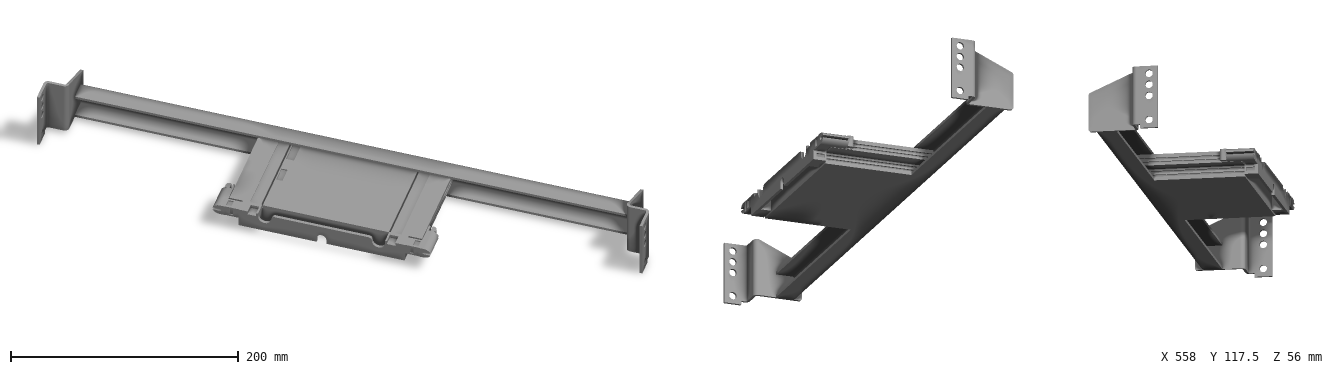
import cadquery as cq
import math


TOTAL_LENGTH = 558.0
SHEET = 2.5
INNER_BEND = 1.5
OUTER_BEND = INNER_BEND + SHEET
RAIL_DEPTH = 19.5
RAIL_HEIGHT = 24.0

SQUARE_HOLE = 10.0
SQUARE_HOLE_X = 192.5
ROUND_HOLE_DIAMETER = 6.0
ROUND_HOLE_X = 210.0
ROUND_HOLE_Z = 14.5

BRACKET_END = TOTAL_LENGTH / 2
BRACKET_WALL = 259.5
BRACKET_BACK = 5.0
BRACKET_STEP_Y = -39.5
BRACKET_FRONT = -60.0
BRACKET_BOTTOM = -3.5
BRACKET_TOP = 52.5
SLOPE_START_Y = -35.5
SLOPE_END_Z = 34.5
FOOT_BACK = -44.5
BRACKET_CORNER = 2.0
MOUNT_HOLE_DIAMETER = 6.5
MOUNT_HOLE_Y = -52.5
MOUNT_HOLE_HEIGHTS = (4.0, 25.5, 35.5, 46.0)

TRAY_HALF_WIDTH = 89.0
TRAY_TOP = 20.0
TRAY_FRONT = -100.5
WING_BOTTOM = 10.0
BODY_HALF_WIDTH = 74.0
STRIP_OUTER_X = 70.0
STRIP_DROP = 0.5
SEAM_INNER_X = 58.0
SEAM_WIDTH = 1.5
SEAM_DEPTH = 3.5
SIDE_GROOVE_WIDTH = 1.5
SIDE_GROOVE_DEPTH = 1.5
WING_GROOVES = (11.5, 15.0)
BODY_GROOVES = (3.5, 6.5)
POCKET_DEPTH = 1.0
POCKET_OUTER_X = 57.0
TRAY_POCKETS = ((49.5, -36.0, -14.0), (51.5, -65.0, -49.5))

PANEL_FRONT = -112.5
PANEL_THICKNESS = 3.0
PANEL_HALF_WIDTH = 76.5
PANEL_BOTTOM = 1.5
PANEL_TOP = TRAY_TOP
RECESS_OUTER_X = 68.0
RECESS_INNER_X = 60.0
RECESS_BACK = -104.0
RECESS_FLOOR = 17.0
SCALLOP_X = 52.5
SCALLOP_RADIUS = 6.0
SCALLOP_OUTER_X = SCALLOP_X + SCALLOP_RADIUS
LIP_RADIUS = PANEL_TOP - RECESS_FLOOR
ARCH_RADIUS = 4.5
ARCH_TOP = 10.5
END_POCKET_BOTTOM = 4.5
END_POCKET_HEIGHT = 3.5
END_POCKET_DEPTH = 1.5
END_POCKET_WALL = 1.5

EAR_BOTTOM = WING_BOTTOM
EAR_HEIGHT = PANEL_TOP - EAR_BOTTOM
EAR_MIDDLE_Z = EAR_BOTTOM + EAR_HEIGHT / 2
EAR_BACK = -102.0
EAR_SETBACK = 0.3
GRIP_OUTER_X = 100.5
GRIP_INNER_X = 89.5
GRIP_NOSE_LENGTH = 6.5
GRIP_BACK = -88.0
GRIP_SLIT_WIDTH = 2.0
GRIP_SLIT_DEPTH = 7.0
PRONG_BACK = -82.0
INNER_PRONG_WIDTH = 1.5
OUTER_PRONG_X = 92.5
OUTER_PRONG_WIDTH = 4.5
PRONG_ROUND = 3.0
EAR_POCKET_DEPTH = 1.0
EAR_TOP_POCKET = (83.5, 89.0, -110.5, -104.0)
EAR_FRONT_POCKET = (81.5, 85.0, 11.5, 18.5)


def block(x0, x1, y0, y1, z0, z1):
    """Box between two opposite corners."""
    return cq.Workplane("XY").box(x1 - x0, y1 - y0, z1 - z0, centered=False).translate((x0, y0, z0))


def both_sides(half):
    """Right-hand shape joined with its mirror image."""
    return half.union(half.mirror("YZ"))


def cross_rail():
    """Channel open to the front, with rounded bends along the back."""
    half_length = BRACKET_WALL - SHEET
    outside = block(-half_length, half_length, -RAIL_DEPTH, 0, 0, RAIL_HEIGHT)
    outside = outside.edges("|X and >Y").fillet(OUTER_BEND)
    inside = block(-half_length, half_length, -RAIL_DEPTH, -SHEET, SHEET, RAIL_HEIGHT - SHEET)
    inside = inside.edges("|X and >Y").fillet(INNER_BEND)
    rail = outside.cut(inside)
    square_holes = (
        cq.Workplane("XZ")
        .pushPoints([(side * SQUARE_HOLE_X, RAIL_HEIGHT / 2) for side in (-1, 1)])
        .rect(SQUARE_HOLE, SQUARE_HOLE)
        .extrude(RAIL_DEPTH)
    )
    round_holes = (
        cq.Workplane("XZ")
        .pushPoints([(side * ROUND_HOLE_X, ROUND_HOLE_Z) for side in (-1, 1)])
        .circle(ROUND_HOLE_DIAMETER / 2)
        .extrude(RAIL_DEPTH)
    )
    return rail.cut(square_holes).cut(round_holes)


def bracket_strip():
    """Z-shaped strip of the right-hand bracket, full height, with both bends rounded."""
    wall_inner = BRACKET_WALL - SHEET
    flange_inner = BRACKET_END - SHEET
    step_back = BRACKET_STEP_Y + SHEET
    strip = (
        cq.Workplane("XY")
        .workplane(offset=BRACKET_BOTTOM)
        .polyline([
            (wall_inner, BRACKET_BACK),
            (BRACKET_WALL, BRACKET_BACK),
            (BRACKET_WALL, step_back),
            (BRACKET_END, step_back),
            (BRACKET_END, BRACKET_FRONT),
            (flange_inner, BRACKET_FRONT),
            (flange_inner, BRACKET_STEP_Y),
            (wall_inner, BRACKET_STEP_Y),
        ])
        .close()
        .extrude(BRACKET_TOP - BRACKET_BOTTOM)
    )
    corners = (
        (wall_inner, BRACKET_STEP_Y, OUTER_BEND),
        (BRACKET_WALL, step_back, INNER_BEND),
        (BRACKET_END, step_back, OUTER_BEND),
        (flange_inner, BRACKET_STEP_Y, INNER_BEND),
    )
    middle_z = (BRACKET_TOP + BRACKET_BOTTOM) / 2
    for x, y, radius in corners:
        strip = strip.edges(cq.selectors.NearestToPointSelector((x, y, middle_z))).fillet(radius)
    return strip


def bracket():
    """Right-hand bracket trimmed to its side outline and drilled."""
    outline = (
        cq.Workplane("YZ")
        .polyline([
            (BRACKET_BACK, 0),
            (BRACKET_BACK, SLOPE_END_Z),
            (SLOPE_START_Y, BRACKET_TOP),
            (BRACKET_FRONT, BRACKET_TOP),
            (BRACKET_FRONT, BRACKET_BOTTOM),
            (FOOT_BACK, BRACKET_BOTTOM),
            (FOOT_BACK, 0),
        ])
        .close()
        .extrude(BRACKET_END)
        .edges("|X and >Y")
        .fillet(BRACKET_CORNER)
    )
    holes = (
        cq.Workplane("YZ")
        .workplane(offset=BRACKET_WALL)
        .pushPoints([(MOUNT_HOLE_Y, height) for height in MOUNT_HOLE_HEIGHTS])
        .circle(MOUNT_HOLE_DIAMETER / 2)
        .extrude(BRACKET_END - BRACKET_WALL)
    )
    return bracket_strip().intersect(outline).cut(holes)


def make_frame():
    """Cross rail and its two brackets, one welded body."""
    return cross_rail().union(both_sides(bracket()))


def side_groove(outer_x, bottom):
    """Groove along the right-hand side face at outer_x."""
    inner_x = outer_x - SIDE_GROOVE_DEPTH
    return block(inner_x, outer_x, TRAY_FRONT, -SHEET, bottom, bottom + SIDE_GROOVE_WIDTH)


def make_tray():
    """Tray whose back fits into the rail and rests on the lower flange."""
    tray_back = -OUTER_BEND
    wings = block(-TRAY_HALF_WIDTH, TRAY_HALF_WIDTH, TRAY_FRONT, tray_back, WING_BOTTOM, TRAY_TOP)
    body = block(-BODY_HALF_WIDTH, BODY_HALF_WIDTH, TRAY_FRONT, tray_back, SHEET, WING_BOTTOM)
    keel = block(-BODY_HALF_WIDTH, BODY_HALF_WIDTH, TRAY_FRONT, -RAIL_DEPTH, 0, SHEET)
    tray = wings.union(body).union(keel)

    strip_z = TRAY_TOP - STRIP_DROP
    tray = tray.cut(block(-STRIP_OUTER_X, STRIP_OUTER_X, TRAY_FRONT, tray_back, strip_z, TRAY_TOP))
    seam_outer_x = SEAM_INNER_X + SEAM_WIDTH
    seam = block(SEAM_INNER_X, seam_outer_x, TRAY_FRONT, tray_back, strip_z - SEAM_DEPTH, strip_z)
    tray = tray.cut(both_sides(seam))

    for bottom in WING_GROOVES:
        tray = tray.cut(both_sides(side_groove(TRAY_HALF_WIDTH, bottom)))
    for bottom in BODY_GROOVES:
        tray = tray.cut(both_sides(side_groove(BODY_HALF_WIDTH, bottom)))
    for inner_x, front, back in TRAY_POCKETS:
        tray = tray.cut(block(-POCKET_OUTER_X, -inner_x, front, back, strip_z - POCKET_DEPTH, strip_z))
    return tray


def panel_plate():
    """Right half of the thin front plate: scalloped top edge, half an arch in the bottom edge."""
    arch_spring = ARCH_TOP - ARCH_RADIUS
    diagonal = math.sqrt(0.5)
    scallop_inner_x = SCALLOP_X - SCALLOP_RADIUS
    lip_x = scallop_inner_x - LIP_RADIUS
    return (
        cq.Workplane("XZ", origin=(0, PANEL_FRONT + PANEL_THICKNESS, 0))
        .moveTo(0, ARCH_TOP)
        .lineTo(0, PANEL_TOP)
        .lineTo(lip_x, PANEL_TOP)
        .threePointArc(
            (lip_x + LIP_RADIUS * diagonal, RECESS_FLOOR + LIP_RADIUS * diagonal),
            (scallop_inner_x, RECESS_FLOOR),
        )
        .threePointArc((SCALLOP_X, RECESS_FLOOR - SCALLOP_RADIUS), (SCALLOP_OUTER_X, RECESS_FLOOR))
        .lineTo(SCALLOP_OUTER_X, PANEL_TOP)
        .lineTo(RECESS_INNER_X, PANEL_TOP)
        .lineTo(RECESS_INNER_X, RECESS_FLOOR)
        .lineTo(RECESS_OUTER_X, RECESS_FLOOR)
        .lineTo(RECESS_OUTER_X, PANEL_TOP)
        .lineTo(PANEL_HALF_WIDTH, PANEL_TOP)
        .lineTo(PANEL_HALF_WIDTH, PANEL_BOTTOM)
        .lineTo(ARCH_RADIUS, PANEL_BOTTOM)
        .lineTo(ARCH_RADIUS, arch_spring)
        .threePointArc((ARCH_RADIUS * diagonal, arch_spring + ARCH_RADIUS * diagonal), (0, ARCH_TOP))
        .close()
        .extrude(PANEL_THICKNESS)
    )


def panel_end():
    """Deep right-hand end of the panel, which meets the front of the tray."""
    end = block(SCALLOP_OUTER_X, PANEL_HALF_WIDTH, PANEL_FRONT, TRAY_FRONT, PANEL_BOTTOM, PANEL_TOP)
    recess = block(RECESS_INNER_X, RECESS_OUTER_X, PANEL_FRONT, RECESS_BACK, RECESS_FLOOR, PANEL_TOP)
    pocket = block(
        PANEL_HALF_WIDTH - END_POCKET_DEPTH,
        PANEL_HALF_WIDTH,
        PANEL_FRONT + END_POCKET_WALL,
        TRAY_FRONT - END_POCKET_WALL,
        END_POCKET_BOTTOM,
        END_POCKET_BOTTOM + END_POCKET_HEIGHT,
    )
    return end.cut(recess).cut(pocket)


def ear_base():
    """Block between the right-hand panel end and the grip, with a top and a front pocket."""
    ear_front = PANEL_FRONT + EAR_SETBACK
    base = block(PANEL_HALF_WIDTH, GRIP_INNER_X, ear_front, EAR_BACK, EAR_BOTTOM, PANEL_TOP)
    x0, x1, y0, y1 = EAR_TOP_POCKET
    base = base.cut(block(x0, x1, y0, y1, PANEL_TOP - EAR_POCKET_DEPTH, PANEL_TOP))
    x0, x1, z0, z1 = EAR_FRONT_POCKET
    return base.cut(block(x0, x1, ear_front, ear_front + EAR_POCKET_DEPTH, z0, z1))


def grip():
    """Oval-nosed right-hand grip beside the tray, slit along its nose, with two prongs behind."""
    nose_x = GRIP_OUTER_X - GRIP_NOSE_LENGTH
    nose = (
        cq.Workplane("XZ", origin=(nose_x, GRIP_BACK, EAR_MIDDLE_Z))
        .ellipse(GRIP_NOSE_LENGTH, EAR_HEIGHT / 2)
        .extrude(GRIP_BACK - PANEL_FRONT)
    )
    root = block(GRIP_INNER_X, nose_x, PANEL_FRONT, GRIP_BACK, EAR_BOTTOM, PANEL_TOP)
    nose = nose.intersect(block(nose_x, GRIP_OUTER_X, PANEL_FRONT, GRIP_BACK, EAR_BOTTOM, PANEL_TOP))
    slit = block(
        GRIP_OUTER_X - GRIP_SLIT_DEPTH,
        GRIP_OUTER_X,
        PANEL_FRONT,
        GRIP_BACK,
        EAR_MIDDLE_Z - GRIP_SLIT_WIDTH / 2,
        EAR_MIDDLE_Z + GRIP_SLIT_WIDTH / 2,
    )
    inner_prong_end = GRIP_INNER_X + INNER_PRONG_WIDTH
    inner_prong = block(GRIP_INNER_X, inner_prong_end, GRIP_BACK, PRONG_BACK, EAR_BOTTOM, PANEL_TOP)
    outer_prong_end = OUTER_PRONG_X + OUTER_PRONG_WIDTH
    outer_prong = block(OUTER_PRONG_X, outer_prong_end, GRIP_BACK, PRONG_BACK, EAR_BOTTOM, PANEL_TOP)
    outer_prong = outer_prong.edges("|Z and >X and >Y").fillet(PRONG_ROUND)
    return root.union(nose).cut(slit).union(inner_prong).union(outer_prong)


def make_front_panel():
    """Front plate with a deep end, an ear and a grip on each side."""
    half = panel_plate().union(panel_end()).union(ear_base()).union(grip())
    return both_sides(half)


frame = make_frame()
tray = make_tray()
front_panel = make_front_panel()

result = cq.Compound.makeCompound([body.solids().val() for body in (frame, tray, front_panel)])